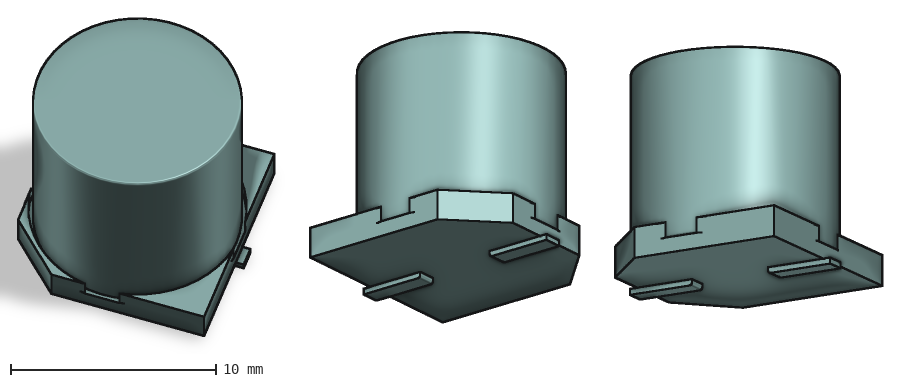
import cadquery as cq

base_side = 10.5
overall_length = 11.3
overall_height = 10.5

terminal_width = 1.01
terminal_length = 3.5
terminal_thickness = 0.3
terminal_end_radius = 0.15

base_height = 1.56
corner_cut = base_side / 4
seat_diameter = 10.65
seat_depth = 0.78

can_diameter = 10.2
can_edge_radius = 0.15

base_top = terminal_thickness + base_height
seat_floor = base_top - seat_depth


def make_base():
    """Square plate with its two -X corners cut off and a round seat in its top."""
    plate = (
        cq.Workplane("XY")
        .workplane(offset=terminal_thickness)
        .rect(base_side, base_side)
        .extrude(base_height)
        .edges("|Z and <X")
        .chamfer(corner_cut)
    )
    seat = cq.Workplane("XY").workplane(offset=seat_floor).circle(seat_diameter / 2).extrude(seat_depth)
    return plate.cut(seat)


def make_can():
    """Cylinder resting on the seat floor, with both rims rounded."""
    can_height = overall_height - seat_floor
    return (
        cq.Workplane("XY")
        .workplane(offset=seat_floor)
        .circle(can_diameter / 2)
        .extrude(can_height)
        .edges()
        .fillet(can_edge_radius)
    )


def make_terminal(side):
    """Flat strip under the base; side is -1 or 1 for the X end it sticks out of."""
    center_x = side * (overall_length - terminal_length) / 2
    inner_end = "<X" if side > 0 else ">X"
    return (
        cq.Workplane("XY")
        .center(center_x, 0)
        .rect(terminal_length, terminal_width)
        .extrude(terminal_thickness)
        .faces(inner_end)
        .edges("<Z")
        .fillet(terminal_end_radius)
    )


base = make_base()
can = make_can()
terminals = [make_terminal(side) for side in (-1, 1)]

result = cq.Compound.makeCompound([base.val(), can.val(), *[terminal.val() for terminal in terminals]])